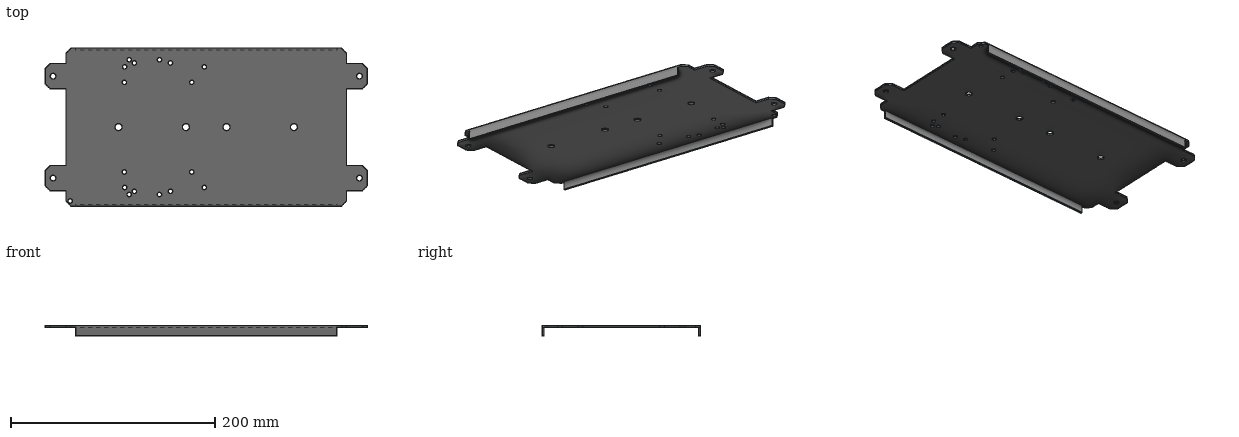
import cadquery as cq

total_length = 316.0
plate_width = 155.0
total_height = 10.0
sheet_thickness = 2.0

plate_length = 275.0
corner_chamfer = 5.0
tab_width = 25.0
tab_center_y = 50.0
tab_hole_inset = 8.0
tab_hole_diameter = 5.5

flange_length = 256.0

center_hole_diameter = 6.5
inner_center_hole_x = 20.0
outer_center_hole_x = 86.0

small_hole_diameter = 4.0
small_hole_places = [
    (-80.3, 44.0),
    (-14.2, 44.0),
    (-80.0, 59.0),
    (-2.0, 59.0),
    (-70.5, 63.0),
    (-35.0, 63.0),
    (-75.5, 66.0),
    (-45.8, 66.0),
]
corner_hole_place = (-133.5, -72.5)

plate_bottom = total_height - sheet_thickness


def chamfered_sheet(length, width):
    """Flat sheet at plate level with its four corners cut off."""
    return (
        cq.Workplane("XY", origin=(0, 0, plate_bottom))
        .rect(length, width)
        .extrude(sheet_thickness)
        .edges("|Z")
        .chamfer(corner_chamfer)
    )


def hole_cutters(places, diameter):
    """Upright cylinders that pass through the full height."""
    return cq.Workplane("XY").pushPoints(places).circle(diameter / 2).extrude(total_height)


def side_flange(side):
    """Wall below one long edge; its outer face is flush with the plate."""
    center_y = side * (plate_width - sheet_thickness) / 2
    return (
        cq.Workplane("XY")
        .center(0, center_y)
        .rect(flange_length, sheet_thickness)
        .extrude(total_height)
    )


body = chamfered_sheet(plate_length, plate_width)
for side in (-1, 1):
    tab_strip = chamfered_sheet(total_length, tab_width).translate((0, side * tab_center_y, 0))
    body = body.union(tab_strip).union(side_flange(side))

tab_hole_x = total_length / 2 - tab_hole_inset
tab_hole_places = [(sx * tab_hole_x, sy * tab_center_y) for sx in (-1, 1) for sy in (-1, 1)]
body = body.cut(hole_cutters(tab_hole_places, tab_hole_diameter))

center_hole_places = [
    (side * x, 0) for side in (-1, 1) for x in (inner_center_hole_x, outer_center_hole_x)
]
body = body.cut(hole_cutters(center_hole_places, center_hole_diameter))

mirrored_places = [(x, side * y) for side in (-1, 1) for x, y in small_hole_places]
body = body.cut(hole_cutters(mirrored_places + [corner_hole_place], small_hole_diameter))

result = body.clean()